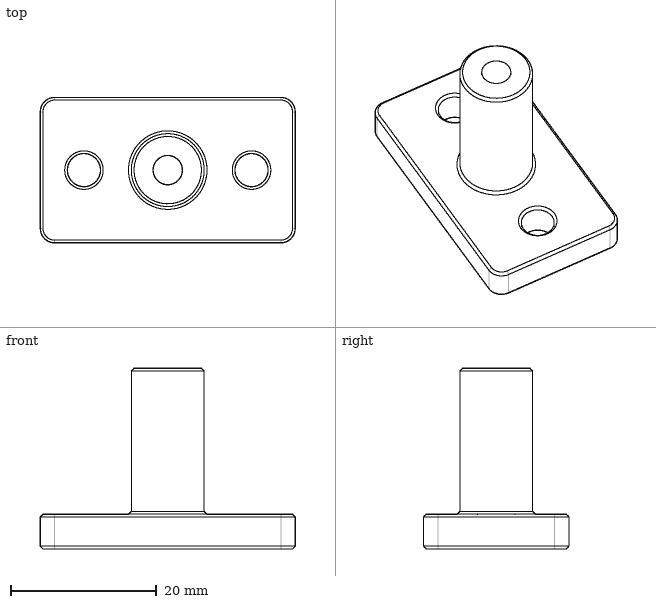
import cadquery as cq

plate_length = 35.0
plate_width = 20.0
plate_thickness = 4.8
corner_radius = 2.0

pin_diameter = 10.0
total_height = 24.8
pin_bore_diameter = 4.0

mount_hole_diameter = 4.5
mount_hole_spacing = 23.0

edge_chamfer = 0.4


def make_plate():
    """Rounded rectangular plate resting on Z = 0, chamfered top and bottom."""
    plate = cq.Workplane("XY").box(
        plate_length, plate_width, plate_thickness, centered=(True, True, False)
    )
    plate = plate.edges("|Z").fillet(corner_radius)
    return plate.faces("<Z or >Z").edges().chamfer(edge_chamfer)


def add_mount_holes(body):
    """Two through holes with a small chamfer at the top rim."""
    rim_diameter = mount_hole_diameter + 2 * edge_chamfer
    half_spacing = mount_hole_spacing / 2
    return (
        body.faces(">Z")
        .workplane(origin=(0, 0, plate_thickness))
        .pushPoints([(-half_spacing, 0), (half_spacing, 0)])
        .cskHole(mount_hole_diameter, rim_diameter, 90)
    )


def add_pin(body):
    """Upright pin with a chamfered tip and a sloped collar where it meets the plate."""
    pin = (
        cq.Workplane("XY")
        .circle(pin_diameter / 2)
        .extrude(total_height)
        .faces(">Z")
        .edges()
        .chamfer(edge_chamfer)
    )
    root_reach = pin_diameter / 2 + edge_chamfer
    root_selector = cq.selectors.BoxSelector(
        (-root_reach, -root_reach, plate_thickness - edge_chamfer),
        (root_reach, root_reach, plate_thickness + edge_chamfer),
        boundingbox=True,
    )
    return body.union(pin).edges(root_selector).chamfer(edge_chamfer)


def add_pin_bore(body):
    """Bore along the pin axis, through the pin and the plate."""
    bore = cq.Workplane("XY").circle(pin_bore_diameter / 2).extrude(total_height)
    return body.cut(bore)


result = add_pin_bore(add_pin(add_mount_holes(make_plate())))